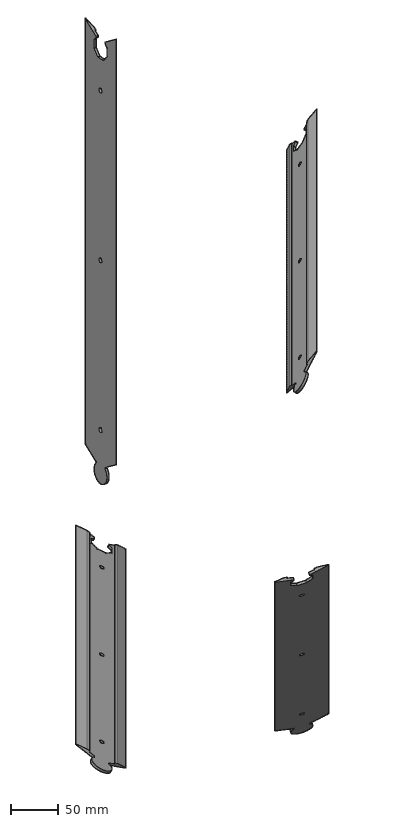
import cadquery as cq
import math

total_length = 535.5
width = 60.0
thickness = 4.0
web_thickness = 2.95
edge_thickness = 0.8
rib_outer_x = 18.0
rib_inner_x = 15.0

end_angle = 30.0
shoulder_z = 35.0
knob_radius = 12.5
neck_half_width = 8.5
socket_half_width = 12.5
socket_floor_z = 500.0

hole_diameter = 5.5
hole_spacing = 200.0
middle_hole_z = 263.0

half_width = width / 2
end_slope = math.tan(math.radians(end_angle))
neck_drop = (half_width - neck_half_width) * end_slope
socket_center_z = socket_floor_z + socket_half_width
socket_half_flat = socket_half_width * math.tan(math.radians(22.5))


def make_profile_bar():
    """Constant cross-section: flat front, bevelled sides, two ribs along the back."""
    right_back = [
        (half_width, 0),
        (half_width, edge_thickness),
        (rib_outer_x, thickness),
        (rib_inner_x, thickness),
        (rib_inner_x, web_thickness),
    ]
    left_back = [(-x, y) for x, y in reversed(right_back)]
    return cq.Workplane("XY").polyline(right_back + left_back).close().extrude(total_length)


def make_plate():
    """Front outline: round knob at the bottom end, matching octagonal socket at the top."""
    neck_top_z = shoulder_z - neck_drop
    neck_bottom_z = knob_radius + math.sqrt(knob_radius**2 - neck_half_width**2)
    mouth_z = total_length - neck_drop
    lip_z = socket_center_z + socket_half_flat + socket_half_width - neck_half_width
    right_socket = [
        (half_width, total_length),
        (neck_half_width, mouth_z),
        (neck_half_width, lip_z),
        (socket_half_width, socket_center_z + socket_half_flat),
        (socket_half_width, socket_center_z - socket_half_flat),
        (socket_half_flat, socket_floor_z),
    ]
    left_socket = [(-x, z) for x, z in reversed(right_socket)]
    return (
        cq.Workplane("XZ")
        .polyline(right_socket + left_socket)
        .lineTo(-half_width, shoulder_z)
        .lineTo(-neck_half_width, neck_top_z)
        .lineTo(-neck_half_width, neck_bottom_z)
        .threePointArc((0, 0), (neck_half_width, neck_bottom_z))
        .lineTo(neck_half_width, neck_top_z)
        .lineTo(half_width, shoulder_z)
        .close()
        .extrude(-thickness)
    )


def make_holes():
    """Three through holes on the center line."""
    centers = [(0, middle_hole_z + step * hole_spacing) for step in (-1, 0, 1)]
    return cq.Workplane("XZ").pushPoints(centers).circle(hole_diameter / 2).extrude(-thickness)


result = make_profile_bar().intersect(make_plate()).cut(make_holes())